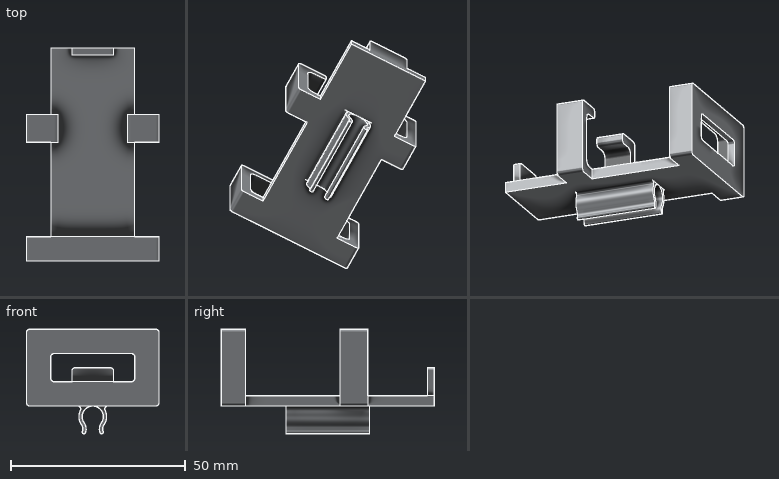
import cadquery as cq
import math

overall_width = 38.0
overall_length = 61.0
body_height = 22.0
edge_radius = 1.0

wall_thickness = 3.0
wall_inner_radius = 2.0

plate_width = 24.0
plate_thickness = wall_thickness

cap_depth = 7.0
cap_front_wall = 2.0
window_height = 8.0
window_width = plate_width

tab_width = 12.0
tab_height = 11.0
tab_thickness = 2.0

hook_length = 8.0
hook_start_y = 34.0
hook_reach = 9.0

clip_length = 24.0
clip_wall = 1.0
clip_bore_radius = 3.0
clip_root_radius = 0.8
lip_bend_radius = 2.0
grip_angle = math.radians(36.0)
lip_end_angle = math.radians(21.6)


def polar(center, radius, angle):
    """Point at the given angle and radius around a center."""
    return (
        center[0] + radius * math.cos(angle),
        center[1] + radius * math.sin(angle),
    )


def make_plate():
    return cq.Workplane("XY").box(
        plate_width, overall_length, plate_thickness, centered=(True, False, False)
    )


def make_rounded_bar(width, length, height, corner_radius):
    """Bar along Y with rounded long edges, starting at Y = 0 and centered on the body height."""
    return (
        cq.Workplane("XY")
        .box(width, length, height, centered=(True, False, True))
        .edges("|Y")
        .fillet(corner_radius)
        .translate((0, 0, body_height / 2))
    )


def make_cap():
    """Front cap: a thin windowed wall with a rim around a pocket that opens to the rear."""
    cap = make_rounded_bar(overall_width, cap_depth, body_height, edge_radius)
    window = make_rounded_bar(window_width, cap_depth, window_height, edge_radius)
    pocket = make_rounded_bar(
        overall_width - 2 * wall_thickness,
        cap_depth - cap_front_wall,
        body_height - 2 * wall_thickness,
        wall_inner_radius,
    ).translate((0, cap_front_wall, 0))
    return cap.cut(window).cut(pocket)


def make_tab():
    return (
        cq.Workplane("XY")
        .box(tab_width, tab_thickness, tab_height, centered=(True, False, False))
        .edges("|Y and >Z")
        .fillet(edge_radius)
        .translate((0, overall_length - tab_thickness, 0))
    )


def make_left_hook():
    """C-shaped arm that rises beside the plate and folds in over it."""
    outer_x = -overall_width / 2
    tip_x = outer_x + hook_reach
    hook = (
        cq.Workplane("XY")
        .box(hook_reach, hook_length, body_height, centered=False)
        .edges("|Y and (<X or >Z)")
        .fillet(edge_radius)
        .translate((outer_x, hook_start_y, 0))
    )
    opening_height = body_height - plate_thickness - wall_thickness
    opening = (
        cq.Workplane("XY")
        .box(hook_reach, hook_length, opening_height, centered=False)
        .edges("|Y and <X")
        .fillet(wall_inner_radius)
        .translate((outer_x + wall_thickness, hook_start_y, plate_thickness))
    )
    hook = hook.cut(opening)
    lip_underside = cq.selectors.NearestToPointSelector(
        (tip_x, hook_start_y + hook_length / 2, body_height - wall_thickness)
    )
    return hook.edges(lip_underside).fillet(edge_radius)


def make_right_clip_leg():
    """S-shaped spring leg: half of a round grip, then an outward lip with a round end."""
    bore_center = (0.0, -clip_bore_radius)
    outer_radius = clip_bore_radius + clip_wall

    root_z = -clip_root_radius
    root_distance = outer_radius + clip_root_radius
    root_x = math.sqrt(root_distance**2 - (root_z - bore_center[1]) ** 2)
    root_center = (root_x, root_z)
    root_angle = math.atan2(root_z - bore_center[1], root_x)

    lip_center = polar(bore_center, outer_radius + lip_bend_radius, -grip_angle)
    lip_start = math.pi - grip_angle
    lip_end = math.pi + lip_end_angle
    lip_middle = (lip_start + lip_end) / 2
    lip_inner_radius = lip_bend_radius + clip_wall
    tip_center = polar(lip_center, lip_bend_radius + clip_wall / 2, lip_end)

    grip_inner_middle = (math.pi / 2 - grip_angle) / 2
    grip_outer_middle = (root_angle - grip_angle) / 2
    root_arc_middle = (math.pi / 2 + math.pi + root_angle) / 2

    return (
        cq.Workplane("XZ")
        .moveTo(0, 0)
        .threePointArc(
            polar(bore_center, clip_bore_radius, grip_inner_middle),
            polar(bore_center, clip_bore_radius, -grip_angle),
        )
        .threePointArc(
            polar(lip_center, lip_inner_radius, lip_middle),
            polar(lip_center, lip_inner_radius, lip_end),
        )
        .threePointArc(
            polar(tip_center, clip_wall / 2, lip_end + math.pi / 2),
            polar(lip_center, lip_bend_radius, lip_end),
        )
        .threePointArc(
            polar(lip_center, lip_bend_radius, lip_middle),
            polar(lip_center, lip_bend_radius, lip_start),
        )
        .threePointArc(
            polar(bore_center, outer_radius, grip_outer_middle),
            polar(bore_center, outer_radius, root_angle),
        )
        .threePointArc(
            polar(root_center, clip_root_radius, root_arc_middle),
            (root_x, 0),
        )
        .close()
        .extrude(clip_length / 2, both=True)
        .translate((0, overall_length / 2, 0))
    )


left_hook = make_left_hook()
right_leg = make_right_clip_leg()

result = make_plate().union(make_cap()).union(make_tab())
for side_part in (left_hook, right_leg):
    result = result.union(side_part).union(side_part.mirror("YZ"))